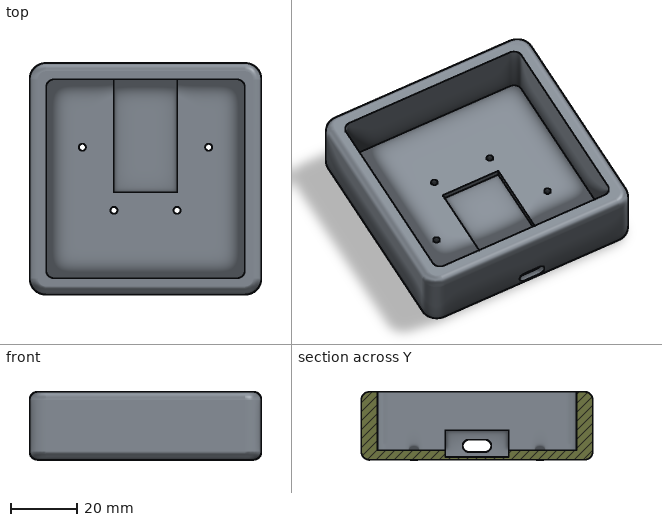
import cadquery as cq

side = 69.85
height = 20.6
corner_radius = 4.95
edge_radius = 2.5

wall = 4.95
floor_thickness = 3.0
cavity_side = side - 2 * wall
cavity_corner_radius = 2.5

pocket_width = 19.0
pocket_front_y = -4.1
pocket_depth = 2.0
recess_depth = 3.0
recess_height = 6.0
pocket_floor_z = floor_thickness - pocket_depth
pocket_top_z = floor_thickness + recess_height
pocket_back_y = cavity_side / 2 + recess_depth

slot_length = 8.5
slot_height = 3.6
slot_center_z = 4.25

hole_diameter = 2.0
hole_spacing = 19.0
hole_row_offset = hole_spacing / 2
hole_points = [
    (-hole_spacing, hole_row_offset),
    (hole_spacing, hole_row_offset),
    (-hole_spacing / 2, -hole_row_offset),
    (hole_spacing / 2, -hole_row_offset),
]


def make_shell():
    """Square block with rounded corners and rounded top and bottom edges."""
    block = cq.Workplane("XY").rect(side, side).extrude(height)
    return block.edges("|Z").fillet(corner_radius).faces("<Z or >Z").edges().fillet(edge_radius)


def make_cavity():
    cavity = cq.Workplane("XY").workplane(offset=floor_thickness)
    cavity = cavity.rect(cavity_side, cavity_side).extrude(height - floor_thickness)
    return cavity.edges("|Z").fillet(cavity_corner_radius)


def make_pocket():
    return cq.Workplane("XY").box(
        pocket_width,
        pocket_back_y - pocket_front_y,
        pocket_top_z - pocket_floor_z,
        centered=(True, False, False),
    ).translate((0, pocket_front_y, pocket_floor_z))


def make_connector_slot():
    """Round-ended slot running from inside the pocket out through the back."""
    slot = cq.Workplane("XZ", origin=(0, 0, slot_center_z))
    return slot.slot2D(slot_length, slot_height).extrude(-side / 2)


def make_screw_holes():
    holes = cq.Workplane("XY").pushPoints(hole_points)
    return holes.circle(hole_diameter / 2).extrude(floor_thickness)


result = (
    make_shell()
    .cut(make_cavity())
    .cut(make_pocket())
    .cut(make_connector_slot())
    .cut(make_screw_holes())
)